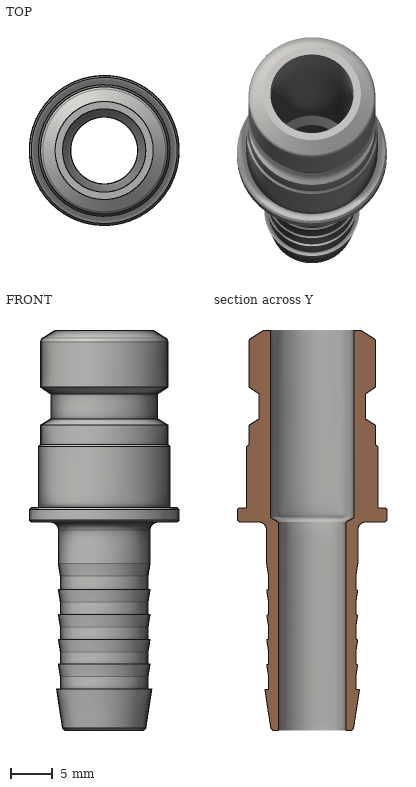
import cadquery as cq
import math

length = 48.0

head_dia = 15.25
head_face_dia = 11.75
nose_angle = math.radians(32)
nose_fillet = 0.6
groove_dia = 12.8
head_bottom = 41.2
groove_top = 40.35
groove_bottom = 37.4
groove_ramp = 0.75

body_dia = 15.8
body_top = 34.3
flange_dia = 18.0
flange_top = 26.75
flange_bottom = 25.0
flange_chamfer = 0.25

collar_dia = 11.0
collar_fillet = 0.95
collar_bottom = 20.0
neck_dia = 10.5
barb_count = 4
barb_pitch = 3.0
barb_taper = 1.5

tip_height = 5.0
tip_dia = 11.4
tip_end_dia = 10.0
tip_chamfer = 0.3

bore_dia = 8.0
wide_bore_dia = 10.0
bore_step_bottom = flange_bottom
bore_step_angle = math.radians(30)


def revolve_profile(profile):
    """Turn a closed (radius, height) profile around the Z axis."""
    return profile.close().revolve(360, (0, 0, 0), (0, 1, 0))


def make_tail():
    """Tapered tip, barbed neck and plain collar, up to the flange."""
    end_radius = tip_end_dia / 2
    neck_radius = neck_dia / 2
    collar_radius = collar_dia / 2
    profile = (
        cq.Workplane("XZ")
        .lineTo(end_radius - tip_chamfer, 0)
        .lineTo(end_radius, tip_chamfer)
        .lineTo(tip_dia / 2, tip_height)
        .lineTo(neck_radius, tip_height)
    )
    for index in range(barb_count):
        barb_top = tip_height + (index + 1) * barb_pitch
        profile = (
            profile.lineTo(neck_radius, barb_top - barb_taper)
            .lineTo(collar_radius, barb_top)
            .lineTo(neck_radius, barb_top)
        )
    profile = (
        profile.lineTo(neck_radius, collar_bottom - barb_taper)
        .lineTo(collar_radius, collar_bottom)
        .lineTo(collar_radius, flange_bottom - collar_fillet)
        .radiusArc((collar_radius + collar_fillet, flange_bottom), collar_fillet)
        .lineTo(0, flange_bottom)
    )
    return revolve_profile(profile)


def make_flange():
    thickness = flange_top - flange_bottom
    disc = cq.Workplane("XY").workplane(offset=flange_bottom).circle(flange_dia / 2).extrude(thickness)
    return disc.edges().chamfer(flange_chamfer)


def make_plug():
    """Body, retaining groove and round-nosed head above the flange."""
    body_radius = body_dia / 2
    head_radius = head_dia / 2
    groove_radius = groove_dia / 2
    face_radius = head_face_dia / 2
    shoulder = body_radius - head_radius
    nose_height = (head_radius - face_radius) * math.tan(nose_angle)

    nose_edge = length - nose_height
    tangent = nose_fillet * math.tan((math.pi / 2 - nose_angle) / 2)
    fillet_start = (head_radius, nose_edge - tangent)
    fillet_end = (
        head_radius - tangent * math.cos(nose_angle),
        nose_edge + tangent * math.sin(nose_angle),
    )
    profile = (
        cq.Workplane("XZ")
        .moveTo(0, flange_bottom)
        .lineTo(body_radius, flange_bottom)
        .lineTo(body_radius, body_top - shoulder)
        .lineTo(head_radius, body_top)
        .lineTo(head_radius, groove_bottom - groove_ramp)
        .lineTo(groove_radius, groove_bottom)
        .lineTo(groove_radius, groove_top)
        .lineTo(head_radius, head_bottom)
        .lineTo(*fillet_start)
        .radiusArc(fillet_end, -nose_fillet)
        .lineTo(face_radius, length)
        .lineTo(0, length)
    )
    return revolve_profile(profile)


def make_bore():
    """Through bore, widened above a conical step."""
    radius = bore_dia / 2
    wide_radius = wide_bore_dia / 2
    step_height = (wide_radius - radius) * math.tan(bore_step_angle)
    profile = (
        cq.Workplane("XZ")
        .lineTo(radius, 0)
        .lineTo(radius, bore_step_bottom)
        .lineTo(wide_radius, bore_step_bottom + step_height)
        .lineTo(wide_radius, length)
        .lineTo(0, length)
    )
    return revolve_profile(profile)


result = make_tail().union(make_flange()).union(make_plug()).cut(make_bore())